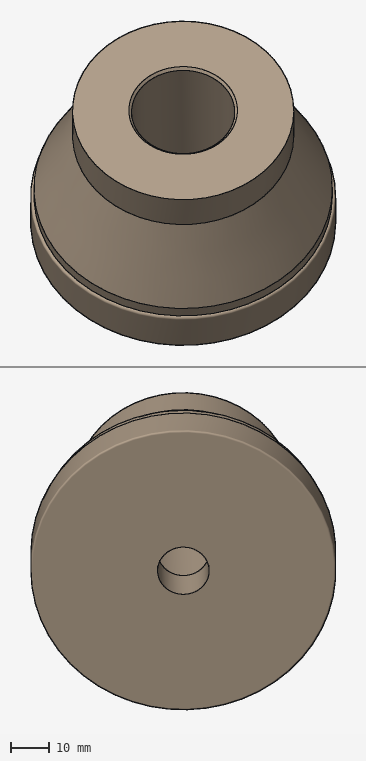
import cadquery as cq

base_diameter = 80.0
base_height = 12.2
base_bottom_radius = 0.5
base_top_radius = 0.6
base_hole_diameter = 13.5

total_height = 50.0
foot_diameter = 78.2
foot_height = 3.3
neck_diameter = 58.0
neck_height = 11.0
bore_diameter = 27.0
bore_chamfer = 0.7

foot_top = base_height + foot_height
neck_bottom = total_height - neck_height


def make_base():
    """Disc with rounded rims and a central through hole."""
    disc = cq.Workplane("XY").circle(base_diameter / 2).extrude(base_height)
    disc = disc.faces("<Z").edges().fillet(base_bottom_radius)
    disc = disc.faces(">Z").edges().fillet(base_top_radius)
    hole = cq.Workplane("XY").circle(base_hole_diameter / 2).extrude(base_height)
    return disc.cut(hole)


def make_upper_body():
    """Turned body on the base: short foot, cone and neck around a through bore."""
    bore_radius = bore_diameter / 2
    foot_radius = foot_diameter / 2
    neck_radius = neck_diameter / 2
    profile = [
        (bore_radius, base_height),
        (foot_radius, base_height),
        (foot_radius, foot_top),
        (neck_radius, neck_bottom),
        (neck_radius, total_height),
        (bore_radius + bore_chamfer, total_height),
        (bore_radius, total_height - bore_chamfer),
    ]
    return cq.Workplane("XZ").polyline(profile).close().revolve(360, (0, 0, 0), (0, 1, 0))


base = make_base()
upper_body = make_upper_body()

result = cq.Compound.makeCompound([base.val(), upper_body.val()])